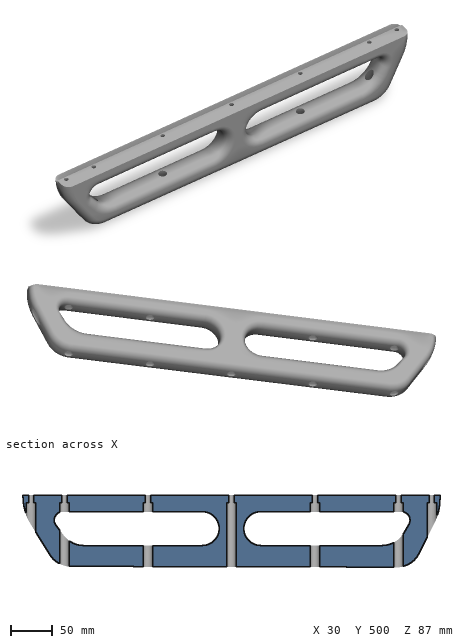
import cadquery as cq
import math

THICKNESS = 30.0
LENGTH = 500.0
DEPTH = 87.0
BOTTOM_RISE = 1.0
EDGE_RADIUS = 10.0

SLOPE_START = 20.0
PLUS_FOOT_Y = 216.5
MINUS_FOOT_Y = 209.0
SHOULDER_RADIUS = 62.5
FOOT_RADIUS = 30.0

OPENING_TOP = 20.5
OPENING_BOTTOM = 60.5
OPENING_INNER_Y = 15.0
OPENING_INNER_RADIUS = (OPENING_BOTTOM - OPENING_TOP) / 2
OPENING_UPPER_RADIUS = 10.0
OPENING_LOWER_RADIUS = 30.0
PLUS_OPENING_TOP_Y = 221.0
PLUS_OPENING_BOTTOM_Y = 197.5
MINUS_OPENING_TOP_Y = 222.0
MINUS_OPENING_BOTTOM_Y = 192.0

STEP_DEPTH = 3.0
STEP_X = -4.0

HOLE_DIAMETER = 5.5
ACCESS_DIAMETER = 10.5
ACCESS_TOP = 10.0
HOLE_YS = (-240.0, -200.0, -100.0, 0.0, 100.0, 200.0, 240.0)

TOUCHING = 5e-06


def rounded_outline(corners):
    """Closed wire in the YZ plane through (y, z, radius) corners, each rounded by a tangent arc."""
    arcs = []
    for i, (y, z, radius) in enumerate(corners):
        corner = cq.Vector(y, z)
        before = (cq.Vector(*corners[i - 1][:2]) - corner).normalized()
        after = (cq.Vector(*corners[(i + 1) % len(corners)][:2]) - corner).normalized()
        half_angle = before.getAngle(after) / 2
        reach = radius / math.tan(half_angle)
        to_middle = radius / math.sin(half_angle) - radius
        middle = corner + (before + after).normalized() * to_middle
        arcs.append((corner + before * reach, middle, corner + after * reach))

    pen = arcs[-1][2]
    outline = cq.Workplane("YZ").moveTo(pen.x, pen.y)
    for start, middle, end in arcs:
        if (start - pen).Length > TOUCHING:
            outline = outline.lineTo(start.x, start.y)
        if (end - start).Length > TOUCHING:
            outline = outline.threePointArc((middle.x, middle.y), (end.x, end.y))
        pen = end
    return outline.close()


def make_body():
    half_length = LENGTH / 2
    corners = [
        (half_length, 0, 0),
        (half_length, -SLOPE_START, SHOULDER_RADIUS),
        (PLUS_FOOT_Y, -DEPTH, FOOT_RADIUS),
        (-MINUS_FOOT_Y, -DEPTH + BOTTOM_RISE, FOOT_RADIUS),
        (-half_length, -SLOPE_START, SHOULDER_RADIUS),
        (-half_length, 0, 0),
    ]
    body = rounded_outline(corners).extrude(THICKNESS / 2, both=True)
    return body.faces("<X or >X").edges("not(>Z)").fillet(EDGE_RADIUS)


def cut_opening(body, side, outer_top_y, outer_bottom_y):
    """Cut one opening with rounded edges; side is +1 for the +Y half and -1 for the -Y half."""
    corners = [
        (side * OPENING_INNER_Y, -OPENING_TOP, OPENING_INNER_RADIUS),
        (side * outer_top_y, -OPENING_TOP, OPENING_UPPER_RADIUS),
        (side * outer_bottom_y, -OPENING_BOTTOM, OPENING_LOWER_RADIUS),
        (side * OPENING_INNER_Y, -OPENING_BOTTOM, OPENING_INNER_RADIUS),
    ]
    cutter = rounded_outline(corners).extrude(THICKNESS / 2, both=True)
    rim_box = cq.selectors.BoxSelector(
        (-THICKNESS, side * OPENING_INNER_Y / 2, -OPENING_BOTTOM - EDGE_RADIUS / 2),
        (THICKNESS, side * outer_top_y, -OPENING_TOP + EDGE_RADIUS / 2),
        boundingbox=True,
    )
    return body.cut(cutter).faces("<X or >X").edges(rim_box).fillet(EDGE_RADIUS)


def cut_step(body):
    width = THICKNESS / 2 + STEP_X
    step = cq.Workplane("XY").box(width, LENGTH, STEP_DEPTH, centered=(False, True, False))
    return body.cut(step.translate((-THICKNESS / 2, 0, -STEP_DEPTH)))


def cut_screw_holes(body):
    places = [(0, y) for y in HOLE_YS]
    holes = cq.Workplane("XY").pushPoints(places).circle(HOLE_DIAMETER / 2).extrude(-DEPTH)
    access = (
        cq.Workplane("XY").workplane(offset=-ACCESS_TOP)
        .pushPoints(places).circle(ACCESS_DIAMETER / 2).extrude(-DEPTH)
    )
    return body.cut(holes).cut(access)


result = make_body()
result = cut_opening(result, 1, PLUS_OPENING_TOP_Y, PLUS_OPENING_BOTTOM_Y)
result = cut_opening(result, -1, MINUS_OPENING_TOP_Y, MINUS_OPENING_BOTTOM_Y)
result = cut_step(result)
result = cut_screw_holes(result)